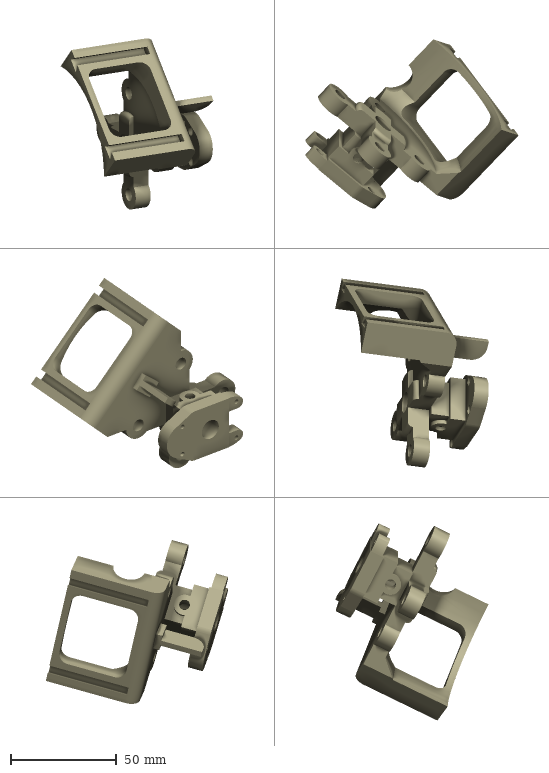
import cadquery as cq
import math


plate_thickness = 8.0
bore_d = 10.0
arm_width = bore_d
lug_distance = 25.0
lug_d = 14.1
lug_hole_d = 6.2
boss_height = 2.4
boss_d = 31.4
boss_fillet = 2.25

frame_depth = 44.95
face_distance = 46.9
frame_half_width = 30.45
frame_fillet = 6.0
bowl_radius = 43.9
bowl_floor_radius = 35.75
bowl_chamfer = bowl_radius - bowl_floor_radius
window_length = 37.3
window_height = 33.0
window_corner = 5.0
window_y = -25.25
window_inner_distance = 26.0
groove_spacing = 48.1
groove_mouth = 4.0
groove_bottom = 7.0
groove_depth = 4.0
side_hole_d = 15.0
side_hole_y = -19.9
frame_turn = -45.0

hinge_y = 7.3
hinge_width = 17.5
hinge_half = hinge_width / 2
hinge_hole_d = 5.0

hinge_gap = 0.4
bracket_z = -hinge_gap / 2
bracket_back = 23.3
base_thickness = 7.0
base_front = bracket_back - base_thickness
base_height = 26.9
cheek_width = 21.95
cheek_height = 21.8
cheek_front = 8.8
knuckle_d = 10.1
shoulder_x = 10.3
shoulder_radius = 5.2
shoulder_angle = math.radians(27.7)
tip_x = 16.4
ear_back = 23.1
ear_thickness = 5.8
ear_left = -19.4
ear_bottom = 6.0
ear_corner_radius = 3.0
ear_knee = (-18.1, 11.5)
ear_crown_mid = (-14.75, 12.9)
ear_hole = (-15.45, 9.9)
tip_hole = (tip_x, 7.5)
screw_hole_d = 2.3
screw_head_d = 4.3
screw_floor = 1.7

lever_centre = 21.7
lever_turn = -40.0
lever_length = 10.0
stem_width = 4.0
flange_width = 8.15
flange_thickness = 3.0
bar_width = 2.8
bar_length = 10.3
bar_end = 23.1
bar_fillet = 7.0


def plane_at(y):
    """Workplane across Y with local axes X and Z; extruding goes towards -Y."""
    return cq.Workplane("XZ", origin=(0, y, 0))


def y_cylinder(diameter, y_start, length):
    return plane_at(y_start).circle(diameter / 2).extrude(length)


def turn_about_y(shape, angle):
    return shape.rotate((0, 0, 0), (0, 1, 0), angle)


def mirror_pair(shape):
    """The shape and its mirror image across the plane z = 0."""
    return shape.union(shape.mirror("XY"))


def bowl_cutter():
    """Round cavity with a 45-degree chamfer that rises from the plate's front face."""
    front = -frame_depth
    return (
        cq.Workplane("XY")
        .moveTo(0, -plate_thickness)
        .lineTo(bowl_floor_radius, -plate_thickness)
        .lineTo(bowl_radius, -plate_thickness - bowl_chamfer)
        .lineTo(bowl_radius, front)
        .lineTo(0, front)
        .close()
        .revolve(360, (0, 0, 0), (0, 1, 0))
    )


def window_cutter():
    return (
        cq.Workplane("YZ", origin=(window_inner_distance, window_y, 0))
        .rect(window_height, window_length)
        .extrude(face_distance - window_inner_distance)
        .edges("|X")
        .fillet(window_corner)
    )


def groove_cutter(centre):
    """Dovetail groove in the outer face; it stops where the rounded back edge starts."""
    floor = face_distance - groove_depth
    return (
        plane_at(-frame_fillet)
        .polyline([
            (face_distance, centre - groove_mouth / 2),
            (face_distance, centre + groove_mouth / 2),
            (floor, centre + groove_bottom / 2),
            (floor, centre - groove_bottom / 2),
        ])
        .close()
        .extrude(frame_depth - frame_fillet)
    )


def make_sector():
    """Quarter sector and wall, shaped around +X and then turned to the diagonal."""
    half = frame_half_width
    sector = (
        plane_at(0)
        .polyline([(0, 0), (half, half), (face_distance, half), (face_distance, -half), (half, -half)])
        .close()
        .extrude(frame_depth)
    )
    sector = sector.edges(cq.selectors.NearestToPointSelector((face_distance, 0, 0))).fillet(frame_fillet)
    sector = sector.cut(bowl_cutter()).cut(window_cutter())
    for side in (-1, 1):
        sector = sector.cut(groove_cutter(side * groove_spacing / 2))
    sector = turn_about_y(sector, frame_turn)
    side_hole = (
        cq.Workplane("XY")
        .center(0, side_hole_y)
        .circle(side_hole_d / 2)
        .extrude(face_distance + frame_half_width)
    )
    return sector.cut(side_hole)


def hinge_profile():
    """Outline across Z of a block with a half-round back end about the hinge axis."""
    return (
        cq.Workplane("XY")
        .moveTo(-hinge_half, 0)
        .lineTo(hinge_half, 0)
        .lineTo(hinge_half, hinge_y)
        .threePointArc((0, hinge_y + hinge_half), (-hinge_half, hinge_y))
        .close()
    )


def hinge_pin_hole():
    return (
        cq.Workplane("XY")
        .center(0, hinge_y)
        .circle(hinge_hole_d / 2)
        .extrude(cheek_height, both=True)
    )


def make_frame():
    cross = plane_at(0).rect(2 * lug_distance, arm_width).extrude(plate_thickness)
    cross = cross.union(plane_at(0).rect(arm_width, 2 * lug_distance).extrude(plate_thickness))

    boss_cross = cross.translate((0, -boss_height, 0))
    boss = y_cylinder(boss_d, -plate_thickness, boss_height).faces("<Y").edges().fillet(boss_fillet)
    boss = boss.intersect(boss_cross)

    lug_centres = plane_at(0).polarArray(lug_distance, 0, 360, 4)
    lugs = lug_centres.circle(lug_d / 2).extrude(plate_thickness)
    lug_holes = lug_centres.circle(lug_hole_d / 2).extrude(plate_thickness)

    hinge_block = hinge_profile().extrude(hinge_half, both=True)

    body = make_sector().union(cross).union(lugs).union(boss).union(hinge_block)
    body = body.cut(lug_holes).cut(hinge_pin_hole())
    return body.cut(y_cylinder(bore_d, bracket_back, bracket_back + frame_depth))


def make_bracket_base():
    """Base plate: square shoulders on the left, tapering to a round tip on the right."""
    half_height = base_height / 2
    tip_radius = (shoulder_x - tip_x) * math.sin(shoulder_angle) + half_height * math.cos(shoulder_angle)
    tangent_x = tip_x + tip_radius * math.sin(shoulder_angle)
    tangent_z = tip_radius * math.cos(shoulder_angle)
    base = (
        plane_at(bracket_back)
        .moveTo(-cheek_width / 2, -half_height)
        .lineTo(shoulder_x, -half_height)
        .lineTo(tangent_x, -tangent_z)
        .threePointArc((tip_x + tip_radius, 0), (tangent_x, tangent_z))
        .lineTo(shoulder_x, half_height)
        .lineTo(-cheek_width / 2, half_height)
        .close()
        .extrude(base_thickness)
    )
    for side in (-1, 1):
        shoulder = (shoulder_x, base_front, side * half_height)
        base = base.edges("|Y").edges(cq.selectors.NearestToPointSelector(shoulder)).fillet(shoulder_radius)
    return base


def make_ear():
    """Upper screw ear at the left end of the base plate."""
    left_centre_x = ear_left + ear_corner_radius
    return (
        plane_at(ear_back)
        .moveTo(-cheek_width / 2, ear_bottom)
        .lineTo(left_centre_x, ear_bottom)
        .threePointArc((ear_left, ear_bottom + ear_corner_radius), ear_knee)
        .threePointArc(ear_crown_mid, (-cheek_width / 2, base_height / 2))
        .close()
        .extrude(ear_thickness)
    )


def screw_cutter(position, back, front):
    """Through hole with a counterbore that opens on the front side."""
    x, z = position
    hole = plane_at(back).center(x, z).circle(screw_hole_d / 2).extrude(back - front)
    head_back = back - screw_floor
    head = plane_at(head_back).center(x, z).circle(screw_head_d / 2).extrude(head_back - front)
    return hole.union(head)


def make_bracket():
    body = make_bracket_base().union(mirror_pair(make_ear()))

    cheeks = plane_at(base_front).rect(cheek_width, cheek_height).extrude(base_front - cheek_front)
    knuckles = (
        cq.Workplane("XY")
        .center(0, hinge_y)
        .circle(knuckle_d / 2)
        .extrude(cheek_height / 2, both=True)
    )
    body = body.union(cheeks).union(knuckles)

    pocket = hinge_profile().extrude((hinge_width + hinge_gap) / 2, both=True)
    body = body.cut(pocket).cut(hinge_pin_hole())

    body = body.cut(mirror_pair(screw_cutter(ear_hole, ear_back, ear_back - ear_thickness)))
    body = body.cut(mirror_pair(screw_cutter(tip_hole, bracket_back, base_front)))

    body = body.translate((0, 0, bracket_z))
    return body.cut(y_cylinder(bore_d, bracket_back, bracket_back))


def make_lever():
    """Stem through the plate, a flange on its back face and a flat bar with one round corner."""
    stem = plane_at(0).rect(lever_length, stem_width).extrude(plate_thickness)
    flange = plane_at(flange_thickness).rect(lever_length, flange_width).extrude(flange_thickness)
    bar = plane_at(bar_end).rect(bar_length, bar_width).extrude(bar_end - flange_thickness)
    bar = bar.faces(">Y").edges("<X").fillet(bar_fillet)
    lever = stem.union(flange).union(bar)
    return turn_about_y(lever, lever_turn).translate((lever_centre, 0, lever_centre))


lever = make_lever()
frame = make_frame().cut(lever)
bracket = make_bracket()

result = cq.Compound.makeCompound([body.solids().val() for body in (frame, bracket, lever)])